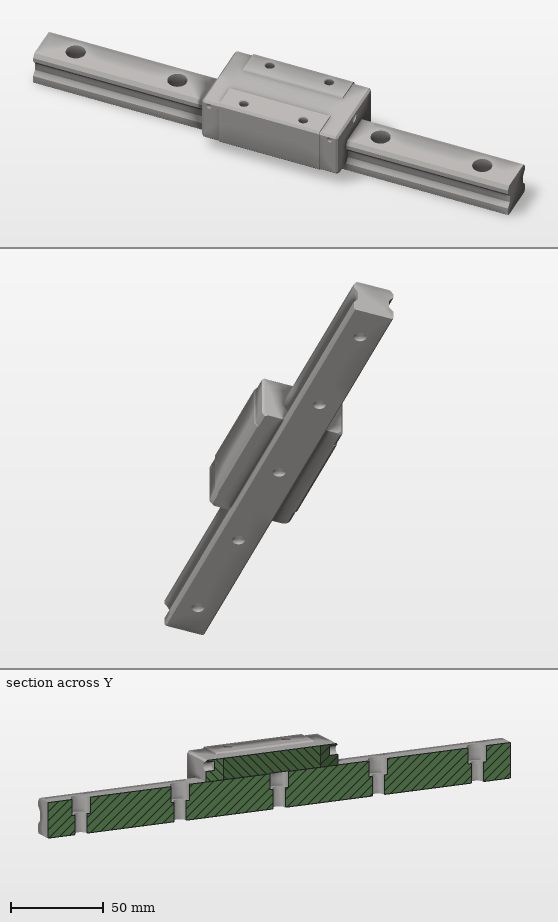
import cadquery as cq

RAIL_LENGTH = 280.0
RAIL_HALF_WIDTH = 11.5
RAIL_TOP_HALF_WIDTH = 9.8
RAIL_WAIST_HALF_WIDTH = 9.0
RAIL_HEIGHT = 20.2
HEAD_CHAMFER_Z = 18.0
HEAD_BOTTOM_Z = 15.5
GROOVE_SHOULDER_HALF_WIDTH = 9.8
GROOVE_SHOULDER_Z = 13.7
WAIST_TOP_Z = 12.3
WAIST_BOTTOM_Z = 7.8
FOOT_TOP_Z = 5.3
FOOT_CHAMFER = 0.8

RAIL_HOLE_COUNT = 5
RAIL_HOLE_PITCH = 60.0
RAIL_BORE_DIAMETER = 7.0
RAIL_COUNTERBORE_DIAMETER = 11.0
RAIL_COUNTERBORE_DEPTH = 9.0

CARRIAGE_X = 4.5
CARRIAGE_LENGTH = 80.0
CARRIAGE_BOTTOM_Z = 5.5
CARRIAGE_BOTTOM_CHAMFER = 1.7

BLOCK_LENGTH = 59.0
BLOCK_WIDTH = 48.0
BLOCK_TOP_Z = 33.0
BLOCK_TOP_CHAMFER = 1.25
RECESS_DEPTH = 0.8
RECESS_TOP_WIDTH = 17.5
RECESS_FLOOR_WIDTH = 16.0
BLOCK_HOLE_PITCH = 35.0
BLOCK_HOLE_DIAMETER = 5.0
BLOCK_COUNTERSINK_DIAMETER = 6.0
BLOCK_COUNTERSINK_ANGLE = 90
BLOCK_HOLE_DEPTH = 8.5

CAP_LENGTH = (CARRIAGE_LENGTH - BLOCK_LENGTH) / 2
CAP_WIDTH = 46.8
CAP_TOP_Z = 32.2
CAP_CHAMFER = 1.0
GREASE_HOLE_DIAMETER = 5.0
GREASE_HOLE_Z = 28.5
SIDE_HOLE_DIAMETER = 3.0
SIDE_HOLE_Z = 29.5
SIDE_HOLE_INSET = 4.5
CAP_HOLE_DEPTH = 5.0


def extrude_along_x(profile, x_start, length):
    """Extrude a closed list of (y, z) points along +X."""
    return cq.Workplane("YZ", origin=(x_start, 0, 0)).polyline(profile).close().extrude(length)


def rail_bar(x_start, length):
    """A plain length of the waisted rail section."""
    right_side = [
        (RAIL_HALF_WIDTH - FOOT_CHAMFER, 0),
        (RAIL_HALF_WIDTH, FOOT_CHAMFER),
        (RAIL_HALF_WIDTH, FOOT_TOP_Z),
        (RAIL_WAIST_HALF_WIDTH, WAIST_BOTTOM_Z),
        (RAIL_WAIST_HALF_WIDTH, WAIST_TOP_Z),
        (GROOVE_SHOULDER_HALF_WIDTH, GROOVE_SHOULDER_Z),
        (RAIL_HALF_WIDTH, HEAD_BOTTOM_Z),
        (RAIL_HALF_WIDTH, HEAD_CHAMFER_Z),
        (RAIL_TOP_HALF_WIDTH, RAIL_HEIGHT),
    ]
    left_side = [(-y, z) for y, z in reversed(right_side)]
    return extrude_along_x(right_side + left_side, x_start, length)


def make_rail():
    """The rail with its row of counterbored mounting holes."""
    return (
        rail_bar(-RAIL_LENGTH / 2, RAIL_LENGTH)
        .faces(">Z")
        .workplane(origin=(0, 0, RAIL_HEIGHT))
        .rarray(RAIL_HOLE_PITCH, 2.8, RAIL_HOLE_COUNT, 1)
        .cboreHole(RAIL_BORE_DIAMETER, RAIL_COUNTERBORE_DIAMETER, RAIL_COUNTERBORE_DEPTH)
    )


def carriage_bar(x_start, length, width, top_z):
    """A rectangular bar of the carriage, before chamfers and the rail channel."""
    height = top_z - CARRIAGE_BOTTOM_Z
    return cq.Workplane("XY", origin=(x_start, 0, CARRIAGE_BOTTOM_Z)).box(
        length, width, height, centered=(False, True, False)
    )


def make_block():
    """The steel block: shallow top recess, rail channel and four screw holes."""
    x_start = CARRIAGE_X - BLOCK_LENGTH / 2
    block = carriage_bar(x_start, BLOCK_LENGTH, BLOCK_WIDTH, BLOCK_TOP_Z)
    block = block.edges("|X and >Z").chamfer(BLOCK_TOP_CHAMFER)
    block = block.edges("|X and <Z").chamfer(CARRIAGE_BOTTOM_CHAMFER)

    recess = extrude_along_x(
        [
            (-RECESS_TOP_WIDTH / 2, BLOCK_TOP_Z),
            (-RECESS_FLOOR_WIDTH / 2, BLOCK_TOP_Z - RECESS_DEPTH),
            (RECESS_FLOOR_WIDTH / 2, BLOCK_TOP_Z - RECESS_DEPTH),
            (RECESS_TOP_WIDTH / 2, BLOCK_TOP_Z),
        ],
        x_start,
        BLOCK_LENGTH,
    )
    block = block.cut(recess).cut(rail_bar(x_start, BLOCK_LENGTH))

    return (
        block.faces(">Z")
        .workplane(origin=(CARRIAGE_X, 0, BLOCK_TOP_Z))
        .rarray(BLOCK_HOLE_PITCH, BLOCK_HOLE_PITCH, 2, 2)
        .cskHole(
            BLOCK_HOLE_DIAMETER, BLOCK_COUNTERSINK_DIAMETER, BLOCK_COUNTERSINK_ANGLE, BLOCK_HOLE_DEPTH
        )
    )


def make_end_cap(side):
    """The end cap on the -X (side = -1) or +X (side = 1) end of the block."""
    end_x = CARRIAGE_X + side * CARRIAGE_LENGTH / 2
    x_start = min(end_x, end_x - side * CAP_LENGTH)
    cap = carriage_bar(x_start, CAP_LENGTH, CAP_WIDTH, CAP_TOP_Z)
    cap = cap.edges("|X and <Z").chamfer(CARRIAGE_BOTTOM_CHAMFER)
    cap = cap.edges("|X and >Z").chamfer(CAP_CHAMFER)
    outer_face = ">X" if side > 0 else "<X"
    cap = cap.faces(outer_face).edges("not <Z").chamfer(CAP_CHAMFER)

    grease_hole = (
        cq.Workplane("YZ", origin=(end_x, 0, GREASE_HOLE_Z))
        .circle(GREASE_HOLE_DIAMETER / 2)
        .extrude(-side * CAP_HOLE_DEPTH)
    )
    side_hole = (
        cq.Workplane("XZ", origin=(end_x - side * SIDE_HOLE_INSET, -CAP_WIDTH / 2, SIDE_HOLE_Z))
        .circle(SIDE_HOLE_DIAMETER / 2)
        .extrude(-CAP_HOLE_DEPTH)
    )
    opposite_side_hole = side_hole.mirror("XZ")
    cap = cap.cut(grease_hole).cut(side_hole).cut(opposite_side_hole)
    return cap.cut(rail_bar(x_start, CAP_LENGTH))


rail = make_rail()
block = make_block()
end_caps = [make_end_cap(side) for side in (-1, 1)]

result = cq.Compound.makeCompound([rail.val(), block.val(), *[cap.val() for cap in end_caps]])